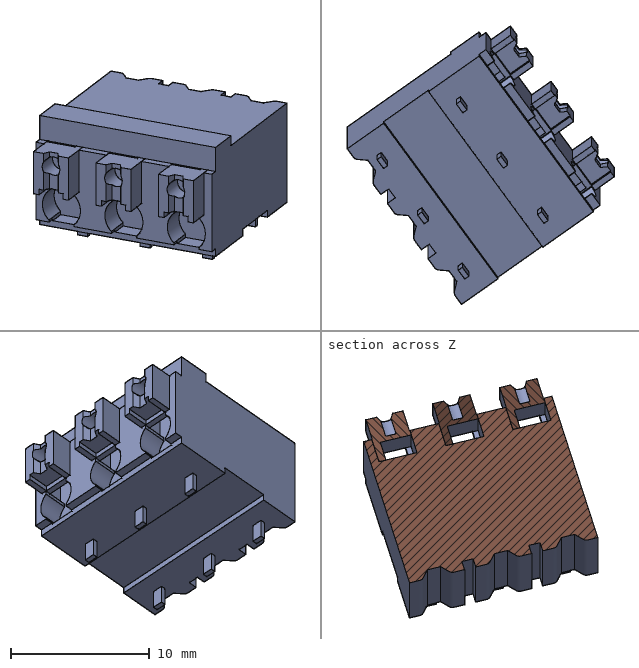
import cadquery as cq

width = 14.1
poles = 3
pitch = 5.0
pole_centers = [(i - (poles - 1) / 2) * pitch for i in range(poles)]
gap_centers = [(a + b) / 2 for a, b in zip(pole_centers, pole_centers[1:])]

housing_depth = 12.3
housing_height = 8.46
panel_thickness = 0.6
panel_top = 6.6
panel_bottom = 0.59
roof_height = 7.7
bar_depth = 2.52
relief_height = 0.52
relief_back_offset = 3.23
relief_length = 3.98

notch_depth = 0.7
v_floor_width = 0.97
v_slope_run = 0.6
v_edge_radius = 0.4
slot_width = 0.8

pocket_depth = 1.92
wire_diameter = 3.05
wire_center_height = 1.89
wire_slot_width = 2.0
wire_slot_bottom = 0.48

lever_width = 2.8
lever_height = 3.27
lever_bottom = panel_top - lever_height
lever_reach = 1.7
lever_head_back = 0.42
lever_arm_width = 0.52
groove_front_width = 1.18
groove_floor_width = 0.66
groove_depth = 0.47
socket_diameter = 1.41
socket_depth = lever_reach
socket_height = 5.55
lever_notch_width = 1.92
lever_notch_height = 0.42
lever_notch_depth = lever_reach

pin_width = 0.8
pin_thickness = 0.37
pin_length = 1.54
back_pin_offset = 1.65
pin_row_spacing = 7.02
back_pin_y = housing_depth - back_pin_offset
pin_rows = [back_pin_y - pin_row_spacing, back_pin_y]


def block(x_range, y_range, z_range):
    """Box spanning the given X, Y and Z ranges."""
    (x0, x1), (y0, y1), (z0, z1) = x_range, y_range, z_range
    return cq.Workplane("XY").box(x1 - x0, y1 - y0, z1 - z0, centered=False).translate((x0, y0, z0))


def centered_range(center, size):
    return (center - size / 2, center + size / 2)


def make_housing_block():
    """Side profile of the housing extruded across its width."""
    relief_back = housing_depth - relief_back_offset
    relief_front = relief_back - relief_length
    bar_back = panel_thickness + bar_depth
    profile = [
        (panel_thickness, 0),
        (relief_front, 0),
        (relief_front, relief_height),
        (relief_back, relief_height),
        (relief_back, 0),
        (housing_depth, 0),
        (housing_depth, roof_height),
        (bar_back, roof_height),
        (bar_back, housing_height),
        (panel_thickness, housing_height),
        (panel_thickness, panel_top),
        (0, panel_top),
        (0, panel_bottom),
        (panel_thickness, panel_bottom),
    ]
    return cq.Workplane("YZ").polyline(profile).close().extrude(width / 2, both=True)


def make_v_notch(x):
    """Flat-bottomed V notch with sloped sides, cut over the full height of the back face."""
    floor_half = v_floor_width / 2
    mouth_half = floor_half + v_slope_run
    floor_y = housing_depth - notch_depth
    return (
        cq.Workplane("XY")
        .polyline([
            (x - mouth_half, housing_depth),
            (x - floor_half, floor_y),
            (x + floor_half, floor_y),
            (x + mouth_half, housing_depth),
        ])
        .close()
        .extrude(roof_height)
    )


def round_v_notch_mouths(body):
    """Round the vertical edges where the V notches meet the back face."""
    mouth_half = v_floor_width / 2 + v_slope_run
    for x in pole_centers:
        for side in (-1, 1):
            edge_point = (x + side * mouth_half, housing_depth, roof_height / 2)
            body = body.edges(cq.NearestToPointSelector(edge_point)).fillet(v_edge_radius)
    return body


def make_back_slot(x):
    """Rectangular slot between two poles over the full height of the back face."""
    return block(
        centered_range(x, slot_width),
        (housing_depth - notch_depth, housing_depth),
        (0, roof_height),
    )


def make_lever_pocket(x):
    return block(centered_range(x, lever_width), (0, pocket_depth), (lever_bottom, panel_top))


def make_wire_opening(x):
    """Round wire entry with a flat-bottomed slot; the slot floor limits the circle."""
    bore = (
        cq.Workplane("XZ", origin=(x, 0, wire_center_height))
        .circle(wire_diameter / 2)
        .extrude(-pocket_depth)
    )
    slot = block(
        centered_range(x, wire_slot_width), (0, pocket_depth), (wire_slot_bottom, lever_bottom)
    )
    above_slot_floor = block(
        centered_range(x, wire_diameter), (0, pocket_depth), (wire_slot_bottom, panel_top)
    )
    return bore.intersect(above_slot_floor).union(slot)


def make_housing():
    body = make_housing_block()
    for x in pole_centers:
        body = body.cut(make_v_notch(x))
    body = round_v_notch_mouths(body)
    for x in gap_centers:
        body = body.cut(make_back_slot(x))
    for x in pole_centers:
        body = body.cut(make_lever_pocket(x)).cut(make_wire_opening(x))
    return body


def make_lever(x):
    """Push lever: a grooved head with a narrow arm running to the back of its pocket."""
    front_y = -lever_reach
    left, right = centered_range(x, lever_width)
    z_range = (lever_bottom, panel_top)
    head = block((left, right), (front_y, lever_head_back), z_range)
    arm = block((right - lever_arm_width, right), (lever_head_back, pocket_depth), z_range)

    front_half = groove_front_width / 2
    floor_half = groove_floor_width / 2
    groove = (
        cq.Workplane("XY", origin=(x, front_y, lever_bottom))
        .polyline([
            (-front_half, 0),
            (-floor_half, groove_depth),
            (floor_half, groove_depth),
            (front_half, 0),
        ])
        .close()
        .extrude(lever_height)
    )
    socket = (
        cq.Workplane("XZ", origin=(x, front_y, socket_height))
        .circle(socket_diameter / 2)
        .extrude(-socket_depth)
    )
    bottom_notch = block(
        centered_range(x, lever_notch_width),
        (front_y, front_y + lever_notch_depth),
        (lever_bottom, lever_bottom + lever_notch_height),
    )
    return head.union(arm).cut(groove).cut(socket).cut(bottom_notch)


def make_pin(x, y):
    """Flat solder pin hanging from the housing underside."""
    return block(centered_range(x, pin_width), centered_range(y, pin_thickness), (-pin_length, 0))


housing = make_housing()
levers = [make_lever(x) for x in pole_centers]
pins = [make_pin(x, y) for x in pole_centers for y in pin_rows]

result = cq.Compound.makeCompound([
    housing.val(),
    *[lever.val() for lever in levers],
    *[pin.val() for pin in pins],
])